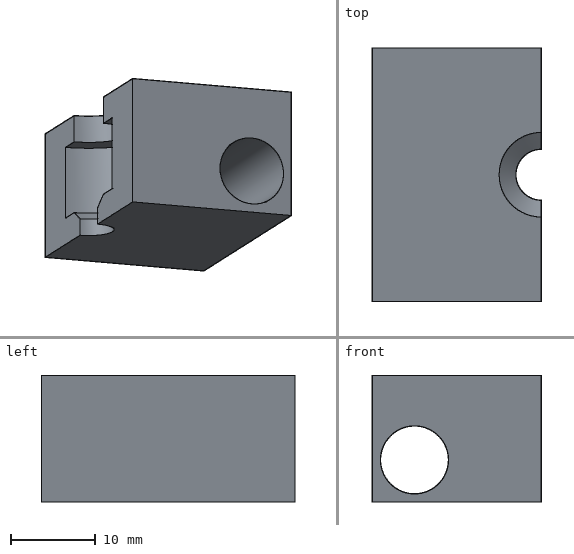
import cadquery as cq

passage_x = 20.0
split_clearance = 0.01
length_x = passage_x - split_clearance
length_y = 30.0
height = 15.0

bore_diameter = 8.0
bore_x = 5.0
bore_z = 5.0

passage_y = length_y / 2
mouth_radius = 5.0
exit_radius = 3.0
lid_thickness = 3.2
floor_thickness = lid_thickness
cone_depth = 1.2

chamber_radius = 8.0


def make_block():
    return cq.Workplane("XY").box(length_x, length_y, height, centered=False)


def make_bore():
    return (
        cq.Workplane("XZ")
        .center(bore_x, bore_z)
        .circle(bore_diameter / 2)
        .extrude(-length_y)
    )


def make_passage():
    """Mouth, chamber, cone and exit hole, revolved about the vertical passage axis."""
    chamber_top = height - lid_thickness
    chamber_bottom = floor_thickness
    cone_bottom = chamber_bottom - cone_depth
    profile = (
        cq.Workplane("XZ")
        .moveTo(0, 0)
        .lineTo(exit_radius, 0)
        .lineTo(exit_radius, cone_bottom)
        .lineTo(mouth_radius, chamber_bottom)
        .lineTo(chamber_radius, chamber_bottom)
        .lineTo(chamber_radius, chamber_top)
        .lineTo(mouth_radius, chamber_top)
        .lineTo(mouth_radius, height)
        .lineTo(0, height)
        .close()
    )
    return profile.revolve(360, (0, 0), (0, 1)).translate((passage_x, passage_y, 0))


result = make_block().cut(make_bore()).cut(make_passage())